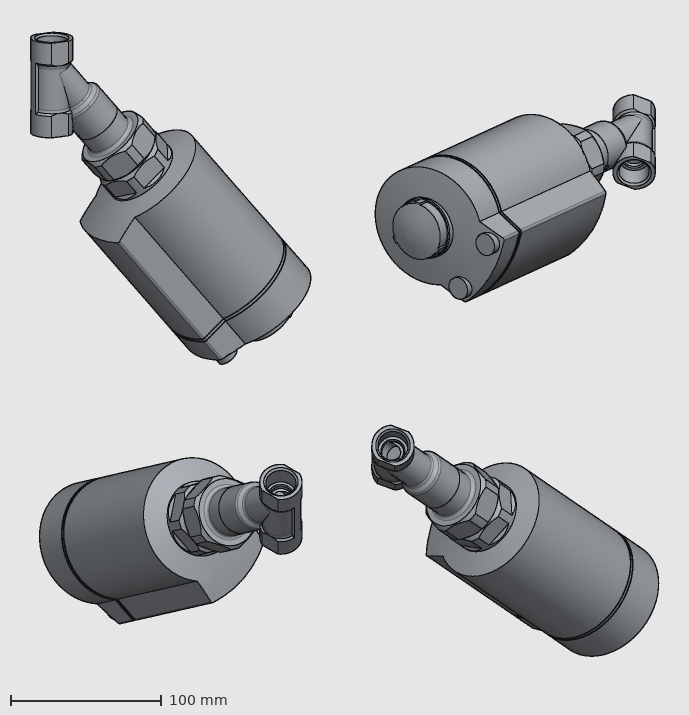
import cadquery as cq
tilt = 40

pipe_length = 65
pipe_center_drop = 11.0
collar_radius = 28.0 / 2
collar_flats = 25.0
collar_height = 14.9
chamfer_end = 16.3
chamfer_foot_radius = 12.5
shoulder_end = 18.4
tube_radius = 12.0
rib_width = 7.5

port_mouth_radius = 11.4
port_radius = 10.0
port_depth = 14.9
passage_radius = 16.0 / 2
passage_depth = 18.5
throat_radius = 7.2
seat_radius = 5.8
seat_drop = 1.2
seat_length = 10.0

neck_radius = 32.0 / 2
neck_cone_start = 27.0
neck_cone_fillet = 2.5
neck_joint = 52.3
slot_width = 3.0
slot_height = 3.3
slot_depth = 4.6

hex_flats = 46.0
hex_diameter = 50.0
hex_chamfer = 2.5
bonnet_hex_top = 67.0
hex_joint = 86
housing_hex_end = 100
ledge_slope = 45
bonnet_fillet = (37.0 - 32.0) / 2

housing_radius = 82.5 / 2
dome_top = 101.0
dome_radius = 160.3
flange_overlap = 2.8
nose_width = 60.0
nose_reach = 53.2
nose_corner_reach = 47.9
nose_fillet = 1.9
groove_start = 207.7
groove_end = 210.0
groove_depth = 0.5
lid_dome_bottom = 239.7
lid_dome_radius = 227.7
lid_dome_offset = 19.0
boss_radius = 15.0 / 2
boss_spacing = 41.4
boss_reach = 41.0
boss_end = 234.5

cap_flange_radius = 21
cap_flange_end = 241.0
cap_flange_chamfer = 0.7
cap_radius = 19.3
cap_side_end = 248.8
cap_end = 252.0
cap_rib_radius = 20.5
cap_rib_width = 4.6
cap_rib_count = 3


def cylinder(radius, start, end, x=0, y=0):
    """Upright cylinder between two distances below the crossing point."""
    return cq.Workplane("XY", origin=(x, y, -end)).circle(radius).extrude(end - start)


def rim(radius, drop):
    """Selector of the edge of this radius, at this distance below the crossing point."""
    margin = 0.2
    reach = radius + margin
    low = (-reach, -reach, -drop - margin)
    high = (reach, reach, margin - drop)
    return cq.selectors.BoxSelector(low, high, boundingbox=True)


def sphere(radius, lowest, y=0):
    """Sphere whose lowest point is at this distance below the crossing point."""
    return cq.Workplane("XY").sphere(radius).translate((0, y, radius - lowest))


def tilted(body):
    return body.rotate((0, 0, 0), (1, 0, 0), tilt)


def collar_blank():
    """Pipe-long bar of the collar section: a circle with two flats."""
    bar = cq.Workplane("XY").circle(collar_radius).extrude(pipe_length / 2, both=True)
    return bar.intersect(cq.Workplane("XY").box(collar_flats, 2 * collar_radius, pipe_length))


def pipe_outside():
    half = pipe_length / 2
    lower_half = [
        (0, -half),
        (collar_radius, -half),
        (collar_radius, collar_height - half),
        (chamfer_foot_radius, chamfer_end - half),
        (tube_radius, shoulder_end - half),
    ]
    upper_half = [(radius, -height) for radius, height in reversed(lower_half)]
    turned = cq.Workplane("XZ").polyline(lower_half + upper_half).close().revolve()
    rib = cq.Workplane("XY").box(rib_width, collar_radius, pipe_length, centered=(True, False, True))
    rib = rib.translate((0, -collar_radius, 0))
    return turned.union(rib).intersect(collar_blank())


def port():
    """Stepped bore of the upper pipe end."""
    half = pipe_length / 2
    profile = [
        (0, half),
        (port_mouth_radius, half),
        (port_radius, half - (port_mouth_radius - port_radius)),
        (port_radius, half - port_depth),
        (passage_radius, half - port_depth),
        (throat_radius, half - port_depth - (passage_radius - throat_radius)),
        (throat_radius, half - passage_depth),
        (0, half - passage_depth),
    ]
    return cq.Workplane("XZ").polyline(profile).close().revolve()


def branch():
    cone_end = neck_cone_start + neck_radius - tube_radius
    profile = [
        (0, 0),
        (tube_radius, 0),
        (tube_radius, -neck_cone_start),
        (neck_radius, -cone_end),
        (neck_radius, -neck_joint),
        (0, -neck_joint),
    ]
    turned = cq.Workplane("XZ").polyline(profile).close().revolve()
    for radius, drop in ((tube_radius, neck_cone_start), (neck_radius, cone_end)):
        turned = turned.edges(rim(radius, drop)).fillet(neck_cone_fillet)
    slot = cq.Workplane("XY").box(slot_width, slot_depth, slot_height, centered=(True, False, False))
    return turned.cut(slot.translate((0, -neck_radius, -neck_joint)))


def make_valve_body():
    to_pipe = (0, 0, -pipe_center_drop)
    body = pipe_outside().translate(to_pipe).union(tilted(branch()))
    upper_port = port()
    lower_port = upper_port.mirror("XY")
    seat_bore = cylinder(seat_radius, seat_drop - seat_length, seat_drop)
    for bore in (upper_port.translate(to_pipe), lower_port.translate(to_pipe), tilted(seat_bore)):
        body = body.cut(bore)
    return body


def hexagon(start, end, first_corner_angle):
    """Hexagonal bar with its corners at first_corner_angle and every 60 degrees after it."""
    outline = cq.Workplane("XY", origin=(0, 0, -end)).polygon(6, hex_flats, circumscribed=True)
    return outline.extrude(end - start).rotate((0, 0, 0), (0, 0, 1), first_corner_angle)


def make_bonnet():
    turned = cylinder(hex_diameter / 2, bonnet_hex_top, hex_joint).faces("<Z or >Z").chamfer(hex_chamfer)
    nut = turned.intersect(hexagon(bonnet_hex_top, hex_joint, 30))
    bonnet = nut.union(cylinder(neck_radius, neck_joint, bonnet_hex_top))
    return tilted(bonnet.edges(rim(neck_radius, bonnet_hex_top)).fillet(bonnet_fillet))


def nosed_bar(start, end, inset=0):
    """Round bar with a broad nose towards -Y; inset shrinks the section all round."""
    half_width = nose_width / 2 - inset
    nose = (
        cq.Workplane("XY", origin=(0, 0, -end))
        .moveTo(-half_width, 0)
        .lineTo(-half_width, inset - nose_corner_reach)
        .threePointArc((0, inset - nose_reach), (half_width, inset - nose_corner_reach))
        .lineTo(half_width, 0)
        .close()
        .extrude(end - start)
        .edges("|Z")
        .edges("<Y")
        .fillet(nose_fillet)
    )
    return nose.union(cylinder(housing_radius - inset, start, end))


def make_housing():
    bar = nosed_bar(dome_top, groove_start)
    dome = sphere(dome_radius, dome_top + 2 * dome_radius)
    spigot = nosed_bar(groove_start, groove_end, groove_depth)
    flange_end = dome_top + flange_overlap
    flange = cylinder(hex_diameter / 2, hex_joint, flange_end).faces(">Z").chamfer(hex_chamfer)
    flats = hexagon(hex_joint, housing_hex_end, 0)
    sloped_ledge = (
        cq.Workplane("XY", origin=(0, 0, -housing_hex_end))
        .polygon(6, hex_flats, circumscribed=True)
        .extrude(housing_hex_end - flange_end, taper=-ledge_slope)
    )
    flats = flats.union(sloped_ledge)
    return tilted(bar.intersect(dome).union(spigot).union(flange.intersect(flats)))


def make_lid():
    bar = nosed_bar(groove_end, lid_dome_bottom)
    dome = sphere(lid_dome_radius, lid_dome_bottom, lid_dome_offset)
    lid = bar.intersect(dome)
    for x in (-boss_spacing / 2, boss_spacing / 2):
        lid = lid.union(cylinder(boss_radius, groove_end, boss_end, x, -boss_reach))
    return lid


def make_cap(lid):
    """Round cap with outer ribs, its flange shaped to sit on the domed underside of the lid."""
    cap = cylinder(cap_flange_radius, groove_end, cap_flange_end).faces("<Z").chamfer(cap_flange_chamfer)
    dome_height = cap_end - cap_side_end
    dome = sphere((cap_radius**2 + dome_height**2) / (2 * dome_height), cap_end)
    cap = cap.union(cylinder(cap_radius, cap_flange_end, cap_end).intersect(dome))
    rib_height = cap_side_end - cap_flange_end
    rib = cq.Workplane("XY").box(cap_rib_width, cap_rib_radius, rib_height, centered=(True, False, False))
    rib = rib.translate((0, -cap_rib_radius, -cap_side_end))
    for index in range(cap_rib_count):
        cap = cap.union(rib.rotate((0, 0, 0), (0, 0, 1), index * 360 / cap_rib_count))
    return cap.cut(lid)


valve_body = make_valve_body()
bonnet = make_bonnet()
housing = make_housing()
upright_lid = make_lid()
cap = tilted(make_cap(upright_lid))
lid = tilted(upright_lid)
result = cq.Compound.makeCompound([valve_body.val(), bonnet.val(), housing.val(), lid.val(), cap.val()])